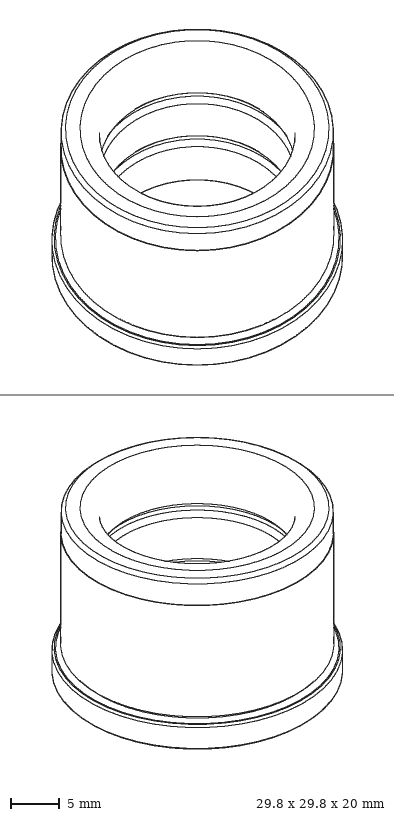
import cadquery as cq
import math

height = 20.0
flange_radius = 14.9
flange_height = 3.0
flange_chamfer = 0.25

body_radius = 14.0
pilot_radius = 13.95
pilot_length = 3.0
lead_chamfer_width = 0.45
lead_chamfer_height = 0.42

relief_depth = 0.42
relief_radius = 0.4
relief_center_lift = 0.1
relief_slope = math.radians(35)

bore_radius = 10.0
liner_radius = 12.0
lip_radius = 1.0
groove_depth = 0.5
groove_flank_height = 0.6
groove_floor_width = 0.5
groove_count = 2


def make_sleeve():
    """Flanged sleeve, revolved about Z, with a straight hole for the liner."""
    neck_radius = body_radius - relief_depth
    arc_center_radius = neck_radius + relief_radius
    arc_center_height = flange_height + relief_center_lift
    arc_start_radius = arc_center_radius + relief_radius * math.sin(relief_slope)
    arc_start_height = arc_center_height - relief_radius * math.cos(relief_slope)
    relief_sink = flange_height - arc_start_height
    relief_outer_radius = arc_start_radius + relief_sink / math.tan(relief_slope)
    relief_top = arc_center_height + relief_depth
    pilot_start = height - pilot_length
    return (
        cq.Workplane("XZ")
        .moveTo(liner_radius, 0)
        .lineTo(flange_radius - flange_chamfer, 0)
        .lineTo(flange_radius, flange_chamfer)
        .lineTo(flange_radius, flange_height - flange_chamfer)
        .lineTo(flange_radius - flange_chamfer, flange_height)
        .lineTo(relief_outer_radius, flange_height)
        .lineTo(arc_start_radius, arc_start_height)
        .threePointArc(
            (arc_center_radius, arc_center_height - relief_radius),
            (neck_radius, arc_center_height),
        )
        .lineTo(body_radius, relief_top)
        .lineTo(body_radius, pilot_start)
        .lineTo(pilot_radius, pilot_start)
        .lineTo(pilot_radius, height - lead_chamfer_height)
        .lineTo(pilot_radius - lead_chamfer_width, height)
        .lineTo(liner_radius, height)
        .close()
        .revolve(360, (0, 0, 0), (0, 1, 0))
    )


def make_groove(middle_height):
    """Ring with sloped flanks that cuts one groove into the bore."""
    half_floor = groove_floor_width / 2
    half_mouth = half_floor + groove_flank_height
    floor_radius = bore_radius + groove_depth
    return (
        cq.Workplane("XZ")
        .moveTo(bore_radius, middle_height - half_mouth)
        .lineTo(floor_radius, middle_height - half_floor)
        .lineTo(floor_radius, middle_height + half_floor)
        .lineTo(bore_radius, middle_height + half_mouth)
        .close()
        .revolve(360, (0, 0, 0), (0, 1, 0))
    )


def make_liner():
    """Plain tube with rounded bore ends and evenly spaced grooves."""
    liner = cq.Workplane("XY").circle(liner_radius).circle(bore_radius).extrude(height)
    bore_ends = cq.selectors.RadiusNthSelector(0)
    liner = liner.edges(bore_ends).fillet(lip_radius)
    groove_spacing = height / (groove_count + 1)
    for index in range(groove_count):
        liner = liner.cut(make_groove(groove_spacing * (index + 1)))
    return liner


sleeve = make_sleeve()
liner = make_liner()

result = cq.Compound.makeCompound([sleeve.val(), liner.val()])